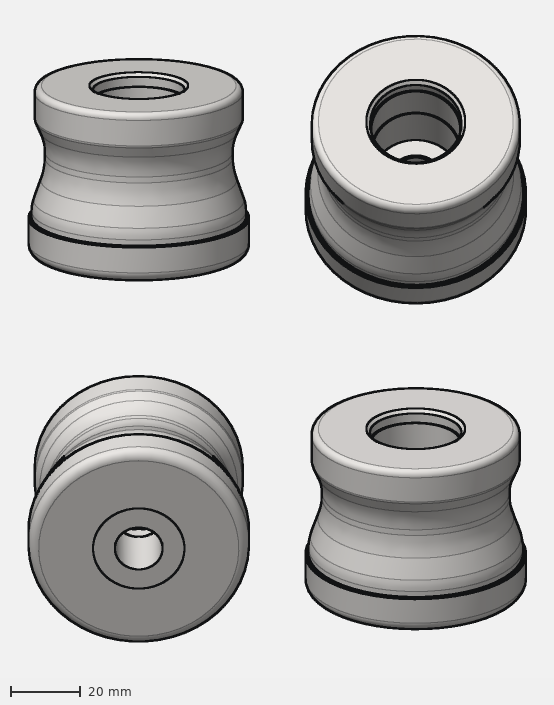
import cadquery as cq
import math

total_height = 50.0
flange_height = 10.85
shoulder_top = 12.6
waist_bottom = 28.5
waist_top = 30.3
rim_bottom = 40.4

flange_radius = 31.75
shoulder_radius = 30.85
rim_radius = 30.0

bottom_fillet = 3.0
flange_chamfer = 0.3
top_fillet = 2.0

lower_slope = math.radians(19.4)
upper_slope = math.radians(25)
shoulder_arc = 10.0
lower_groove_arc = 20.0
upper_groove_arc = 15.0
rim_arc = 1.5

bushing_radius = 13.15
bushing_recess = 4.0
bore_chamfer = 1.1
upper_bore_radius = 12.75
lower_bore_radius = 12.5
bore_step_depth = 15.5
floor_thickness = 20.0
bolt_hole_radius = 6.85
bolt_hole_chamfer = 0.45


def arc_rise(radius, angle):
    """Radial rise of an arc that starts parallel to the axis."""
    return radius * (1 - math.cos(angle))


def axial_run(radius, angle):
    """Distance that the same arc covers along the axis."""
    return radius * math.sin(angle)


def make_housing():
    cone_low_r = shoulder_radius - arc_rise(shoulder_arc, lower_slope)
    cone_low_z = shoulder_top + axial_run(shoulder_arc, lower_slope)
    cone_high_z = waist_bottom - axial_run(lower_groove_arc, lower_slope)
    cone_high_r = cone_low_r - (cone_high_z - cone_low_z) * math.tan(lower_slope)
    waist_radius = cone_high_r - arc_rise(lower_groove_arc, lower_slope)

    neck_r = waist_radius + arc_rise(upper_groove_arc, upper_slope)
    neck_z = waist_top + axial_run(upper_groove_arc, upper_slope)
    rim_arc_r = rim_radius - arc_rise(rim_arc, upper_slope)
    rim_arc_z = rim_bottom - axial_run(rim_arc, upper_slope)

    shoulder_mid = (
        shoulder_radius - arc_rise(shoulder_arc, lower_slope / 2),
        shoulder_top + axial_run(shoulder_arc, lower_slope / 2),
    )
    lower_groove_mid = (
        waist_radius + arc_rise(lower_groove_arc, lower_slope / 2),
        waist_bottom - axial_run(lower_groove_arc, lower_slope / 2),
    )
    upper_groove_mid = (
        waist_radius + arc_rise(upper_groove_arc, upper_slope / 2),
        waist_top + axial_run(upper_groove_arc, upper_slope / 2),
    )
    rim_mid = (
        rim_radius - arc_rise(rim_arc, upper_slope / 2),
        rim_bottom - axial_run(rim_arc, upper_slope / 2),
    )

    profile = (
        cq.Workplane("XZ")
        .moveTo(bushing_radius, 0)
        .lineTo(flange_radius, 0)
        .lineTo(flange_radius, flange_height - flange_chamfer)
        .lineTo(flange_radius - flange_chamfer, flange_height)
        .lineTo(shoulder_radius, flange_height)
        .lineTo(shoulder_radius, shoulder_top)
        .threePointArc(shoulder_mid, (cone_low_r, cone_low_z))
        .lineTo(cone_high_r, cone_high_z)
        .threePointArc(lower_groove_mid, (waist_radius, waist_bottom))
        .lineTo(waist_radius, waist_top)
        .threePointArc(upper_groove_mid, (neck_r, neck_z))
        .lineTo(rim_arc_r, rim_arc_z)
        .threePointArc(rim_mid, (rim_radius, rim_bottom))
        .lineTo(rim_radius, total_height)
        .lineTo(bushing_radius + bore_chamfer, total_height)
        .lineTo(bushing_radius, total_height - bore_chamfer)
        .close()
    )
    body = profile.revolve(360, (0, 0, 0), (0, 1, 0))
    body = body.faces("<Z").edges(cq.selectors.RadiusNthSelector(-1)).fillet(bottom_fillet)
    top_edge = body.faces(">Z").edges(cq.selectors.RadiusNthSelector(-1))
    return top_edge.fillet(top_fillet)


def make_bushing():
    bushing_top = total_height - bushing_recess
    bore_step = total_height - bore_step_depth
    profile = (
        cq.Workplane("XZ")
        .moveTo(bolt_hole_radius, 0)
        .lineTo(bushing_radius, 0)
        .lineTo(bushing_radius, bushing_top)
        .lineTo(upper_bore_radius, bushing_top)
        .lineTo(upper_bore_radius, bore_step)
        .lineTo(lower_bore_radius, bore_step)
        .lineTo(lower_bore_radius, floor_thickness)
        .lineTo(bolt_hole_radius + bolt_hole_chamfer, floor_thickness)
        .lineTo(bolt_hole_radius, floor_thickness - bolt_hole_chamfer)
        .close()
    )
    return profile.revolve(360, (0, 0, 0), (0, 1, 0))


housing = make_housing()
bushing = make_bushing()
result = cq.Compound.makeCompound([housing.val(), bushing.val()])